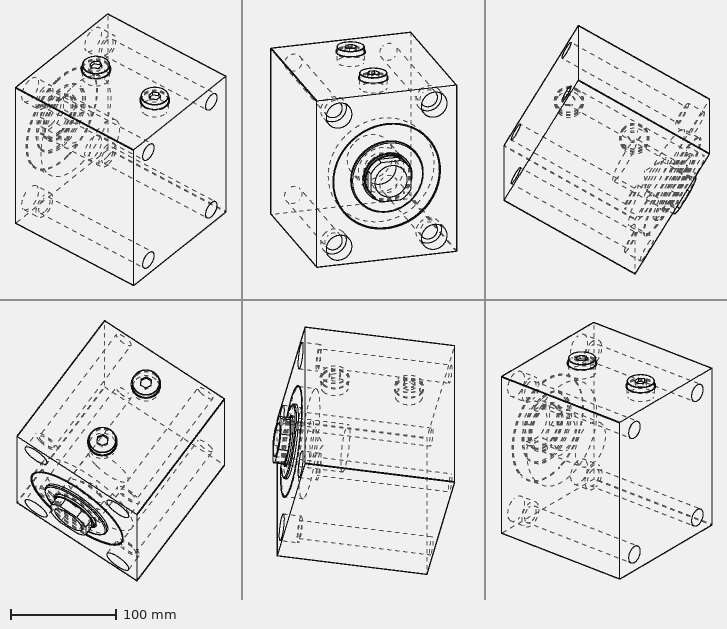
import cadquery as cq
import math

BLOCK_LENGTH = 145.0
BLOCK_WIDTH = 140.0
BLOCK_HEIGHT = 170.0
OVERALL_HEIGHT = 174.9
BLOCK_EDGE_CHAMFER = 0.5

BOLT_SPACING_Y = 95.0
BOLT_SPACING_Z = 135.0
BOLT_HOLE_DIAMETER = 17.3
BOLT_HEAD_DIAMETER = 25.5
BOLT_HEAD_DEPTH = 17.5

FLANGE_DIAMETER = 105.6
FLANGE_DEPTH = 17.5
SEAT_CHAMFER = 0.9
BOSS_DIAMETER = 71.9
BOSS_HEIGHT = 3.0
BOSS_CHAMFER = 1.0
WIPER_DIAMETER = 49.0
WIPER_DEPTH = 1.7

ROD_DIAMETER = 45.6
SHOULDER_CHAMFER = 0.5
ROD_PROTRUSION = 14.0
ROD_DEPTH = 52.5
HEAD_DIAMETER = ROD_DIAMETER - 2 * SHOULDER_CHAMFER
HEAD_LENGTH = 9.1
FLATS_WIDTH = 40.2
ROD_HOLE_DIAMETER = 32.0
ROD_HOLE_DEPTH = 35.0
DRILL_POINT_ANGLE = 118.0

FIRST_PLUG_X = 42.2
PLUG_SPACING = 72.0
PLUG_DIAMETER = 26.0
PLUG_HEIGHT = OVERALL_HEIGHT - BLOCK_HEIGHT
PLUG_CHAMFER = 0.3
PLUG_DEPTH = 10.5
SPOTFACE_DIAMETER = 28.2
SPOTFACE_DEPTH = 1.0
HEX_SIDES = 6
HEX_WIDTH = 10.0
HEX_DEPTH = 3.5
HEX_TURN = 30.0

BLOCK_TOP = BLOCK_HEIGHT / 2
PLUG_POSITIONS = [FIRST_PLUG_X, FIRST_PLUG_X + PLUG_SPACING]


def cylinder_x(start, length, diameter):
    """Solid cylinder on the X axis, running from start towards +X."""
    return cq.Workplane("YZ", origin=(start, 0, 0)).circle(diameter / 2).extrude(length)


def cone_x(start, start_diameter, length, end_diameter):
    """Solid cone or frustum on the X axis, running from start towards +X."""
    cone = cq.Solid.makeCone(
        start_diameter / 2, end_diameter / 2, length, cq.Vector(start, 0, 0), cq.Vector(1, 0, 0)
    )
    return cq.Workplane(obj=cone)


def plug_blank(x):
    """Cylinder filled by a plug, from its bottom in the block to its top."""
    base = cq.Workplane("XY", origin=(x, 0, BLOCK_TOP - PLUG_DEPTH))
    return base.circle(PLUG_DIAMETER / 2).extrude(PLUG_DEPTH + PLUG_HEIGHT)


def make_block():
    block = cq.Workplane("XY").box(BLOCK_LENGTH, BLOCK_WIDTH, BLOCK_HEIGHT)
    block = block.translate((BLOCK_LENGTH / 2, 0, 0))
    block = block.edges("|X").chamfer(BLOCK_EDGE_CHAMFER)
    block = (
        block.faces("<X").workplane(centerOption="CenterOfBoundBox")
        .rect(BOLT_SPACING_Y, BOLT_SPACING_Z, forConstruction=True).vertices()
        .cboreHole(BOLT_HOLE_DIAMETER, BOLT_HEAD_DIAMETER, BOLT_HEAD_DEPTH)
    )

    block = block.cut(cylinder_x(0, FLANGE_DEPTH, FLANGE_DIAMETER))
    block = block.cut(cylinder_x(0, ROD_DEPTH, ROD_DIAMETER))
    mouth = FLANGE_DIAMETER + 2 * SEAT_CHAMFER
    block = block.cut(cone_x(0, mouth, SEAT_CHAMFER, FLANGE_DIAMETER))

    for x in PLUG_POSITIONS:
        block = block.cut(plug_blank(x))
        floor = cq.Workplane("XY", origin=(x, 0, BLOCK_TOP - SPOTFACE_DEPTH))
        block = block.cut(floor.circle(SPOTFACE_DIAMETER / 2).extrude(SPOTFACE_DEPTH))
    return block


def make_gland():
    gland = cylinder_x(0, FLANGE_DEPTH, FLANGE_DIAMETER)
    straight_height = BOSS_HEIGHT - BOSS_CHAMFER
    gland = gland.union(cylinder_x(-straight_height, straight_height, BOSS_DIAMETER))
    nose = BOSS_DIAMETER - 2 * BOSS_CHAMFER
    gland = gland.union(cone_x(-BOSS_HEIGHT, nose, BOSS_CHAMFER, BOSS_DIAMETER))
    gland = gland.cut(cylinder_x(-BOSS_HEIGHT, BOSS_HEIGHT + FLANGE_DEPTH, ROD_DIAMETER))
    return gland.cut(cylinder_x(-BOSS_HEIGHT, WIPER_DEPTH, WIPER_DIAMETER))


def make_rod():
    shoulder = HEAD_LENGTH - ROD_PROTRUSION
    rod = cylinder_x(shoulder, ROD_DEPTH - shoulder, ROD_DIAMETER)
    rod = rod.faces("<X").chamfer(SHOULDER_CHAMFER)
    tip = cq.Workplane("YZ", origin=(-ROD_PROTRUSION, 0, 0))
    flats = tip.rect(FLATS_WIDTH, FLATS_WIDTH).extrude(HEAD_LENGTH)
    rod = rod.union(cylinder_x(-ROD_PROTRUSION, HEAD_LENGTH, HEAD_DIAMETER).intersect(flats))

    rod = rod.cut(cylinder_x(-ROD_PROTRUSION, ROD_HOLE_DEPTH, ROD_HOLE_DIAMETER))
    point_length = ROD_HOLE_DIAMETER / 2 / math.tan(math.radians(DRILL_POINT_ANGLE / 2))
    return rod.cut(cone_x(ROD_HOLE_DEPTH - ROD_PROTRUSION, ROD_HOLE_DIAMETER, point_length, 0))


def make_plug(x):
    hex_diameter = HEX_WIDTH / math.cos(math.pi / HEX_SIDES)
    socket = (
        cq.Workplane("XY", origin=(x, 0, BLOCK_TOP + PLUG_HEIGHT - HEX_DEPTH))
        .transformed(rotate=(0, 0, HEX_TURN)).polygon(HEX_SIDES, hex_diameter).extrude(HEX_DEPTH)
    )
    return plug_blank(x).faces(">Z").edges().chamfer(PLUG_CHAMFER).cut(socket)


block = make_block()
gland = make_gland()
rod = make_rod()
plugs = [make_plug(x) for x in PLUG_POSITIONS]

result = cq.Compound.makeCompound([
    block.val(),
    gland.val(),
    rod.val(),
    *[plug.val() for plug in plugs],
])